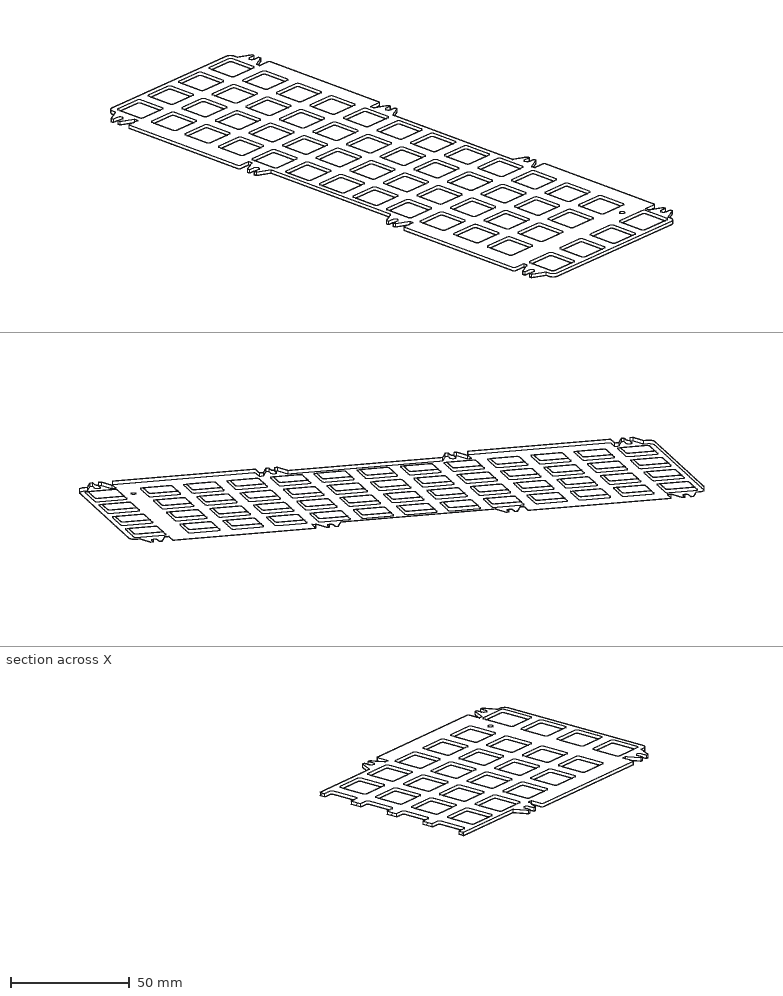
import cadquery as cq

length = 252.5
thickness = 1.6
overall_width = 88.0
body_corner_radius = 2.5

columns = 13
rows = 4
last_column_gap = 1.25
pitch = length / (columns - 1 + last_column_gap)
body_width = rows * pitch
web_width = 5.0
window_size = pitch - web_width
window_radius = 1.0
tall_window_height = 16.0
tall_window_shift = 0.3

panel_length = 62.9
panel_center_x = 78.0
panel_corner_radius = 0.5

outer_tab_x = (length - pitch) / 2
inner_tab_x = 39.5
tab_base = 10.9
tab_tip = 5.0
slot_width = 2.5
slot_depth = 4.0

small_hole_diameter = 2.2

body_edge = body_width / 2
outer_edge = overall_width / 2
first_column_x = -outer_tab_x
top_row_y = (rows - 1) / 2 * pitch
column_x = [first_column_x + i * pitch for i in range(columns - 1)]
column_x.append(-first_column_x)
row_y = [top_row_y - j * pitch for j in range(rows)]


def rounded_plate(x, y, size_x, size_y, radius):
    """Rectangular block of plate thickness with rounded corners, centred at x, y."""
    block = cq.Workplane("XY").center(x, y).rect(size_x, size_y).extrude(thickness)
    return block.edges("|Z").fillet(radius)


def tab(x, side):
    """Tapered tab at x, rooted on the centre line; side is +1 for +Y, -1 for -Y."""
    base_y = side * body_edge
    tip_y = side * outer_edge
    return (
        cq.Workplane("XY")
        .moveTo(x - tab_base / 2, 0)
        .lineTo(x - tab_base / 2, base_y)
        .lineTo(x - tab_tip / 2, tip_y)
        .lineTo(x + tab_tip / 2, tip_y)
        .lineTo(x + tab_base / 2, base_y)
        .lineTo(x + tab_base / 2, 0)
        .close()
        .extrude(thickness)
    )


def tab_slot(x, side):
    """Cutter for the slot in a tab, with a half-round inner end."""
    tip_y = side * outer_edge
    bottom_y = side * (outer_edge - slot_depth)
    shoulder_y = bottom_y + side * slot_width / 2
    return (
        cq.Workplane("XY")
        .moveTo(x - slot_width / 2, tip_y)
        .lineTo(x - slot_width / 2, shoulder_y)
        .threePointArc((x, bottom_y), (x + slot_width / 2, shoulder_y))
        .lineTo(x + slot_width / 2, tip_y)
        .close()
        .extrude(thickness)
    )


plate = rounded_plate(0, 0, length, body_width, body_corner_radius)
for panel_x in (-panel_center_x, panel_center_x):
    plate = plate.union(rounded_plate(panel_x, 0, panel_length, overall_width, panel_corner_radius))

for tab_x in (-outer_tab_x, -inner_tab_x, inner_tab_x, outer_tab_x):
    for side in (1, -1):
        plate = plate.union(tab(tab_x, side)).cut(tab_slot(tab_x, side))

centers = [(x, y) for x in column_x for y in row_y]
tall_x, tall_y = column_x[-1], row_y[0]
centers.remove((tall_x, tall_y))
windows = (
    cq.Workplane("XY")
    .pushPoints(centers)
    .rect(window_size, window_size)
    .extrude(thickness)
    .edges("|Z")
    .fillet(window_radius)
)
tall_window = rounded_plate(
    tall_x, tall_y + tall_window_shift, window_size, tall_window_height, window_radius
)
plate = plate.cut(windows).cut(tall_window)

small_hole_x = (column_x[-2] + column_x[-1]) / 2
small_hole = (
    cq.Workplane("XY")
    .center(small_hole_x, row_y[0])
    .circle(small_hole_diameter / 2)
    .extrude(thickness)
)

result = plate.cut(small_hole)